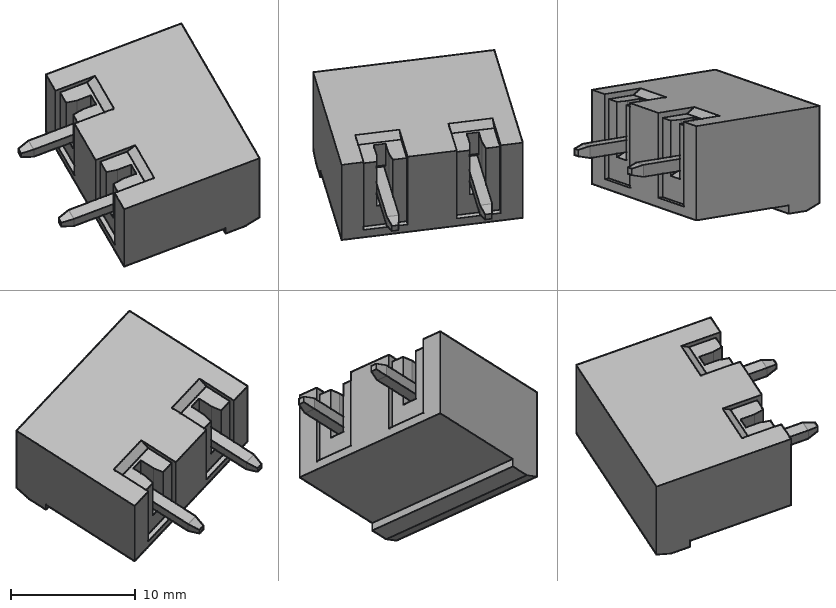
import cadquery as cq

width = 14.82
overall_depth = 16.0
depth = 12.0
overall_height = 8.5
foot_height = 0.7
top = overall_height - foot_height

foot_depth = 3.0
foot_bevel_length = 1.28
foot_bevel_height = 0.48

pin_pitch = 7.62
recess_width = 3.6
recess_front_depth = 0.42
recess_drop = 7.0
recess_top_drop = 0.46
recess_floor_depth = 2.8
recess_top_depth = 3.5

pin_size = 1.0
pin_drop = 3.9
pin_length = overall_depth - depth
tip_length = 1.0
tip_size = 0.53

slot_depth = 2.53
slot_drop = 5.02
slot_mouth_width = 1.33
slot_flare_length = 0.88
ramp_length = 1.25
overhang_drop = 2.69
overhang_length = 0.7

pin_z = top - pin_drop
pin_top = pin_z + pin_size / 2
pin_bottom = pin_z - pin_size / 2
slot_bottom = top - slot_drop
pin_positions = [-pin_pitch / 2, pin_pitch / 2]


def side_profile(points, x, thickness):
    """Extrude a (y, z) outline along X, centred on x."""
    return (
        cq.Workplane("YZ", origin=(x, 0, 0))
        .polyline(points)
        .close()
        .extrude(thickness / 2, both=True)
    )


def housing():
    outline = [
        (0, 0),
        (0, top),
        (depth, top),
        (depth, foot_bevel_height - foot_height),
        (depth - foot_bevel_length, -foot_height),
        (depth - foot_depth, -foot_height),
        (depth - foot_depth, 0),
    ]
    return side_profile(outline, 0, width)


def recess(x):
    """Shallow front pocket joined to a top pocket with a sloping rear wall."""
    floor = top - recess_top_drop
    outline = [
        (0, top),
        (recess_top_depth, top),
        (recess_floor_depth, floor),
        (recess_front_depth, floor),
        (recess_front_depth, top - recess_drop),
        (0, top - recess_drop),
    ]
    return side_profile(outline, x, recess_width)


def slot(x):
    """Slot with a flared mouth, a ramp up to the pin and an undercut down to it."""
    outline = [
        (recess_front_depth, top),
        (slot_depth, top),
        (slot_depth, top - overhang_drop),
        (slot_depth + overhang_length, pin_top),
        (slot_depth + overhang_length, pin_bottom),
        (recess_front_depth + ramp_length, pin_bottom),
        (recess_front_depth, slot_bottom),
    ]
    flare_end = recess_front_depth + slot_flare_length
    plan = [
        (x - slot_mouth_width / 2, recess_front_depth),
        (x - pin_size / 2, flare_end),
        (x - pin_size / 2, depth),
        (x + pin_size / 2, depth),
        (x + pin_size / 2, flare_end),
        (x + slot_mouth_width / 2, recess_front_depth),
    ]
    flared = cq.Workplane("XY").polyline(plan).close().extrude(top)
    return side_profile(outline, x, slot_mouth_width).intersect(flared)


def pin(x):
    """Pin running from the rear of the slot to its tapered tip."""
    rear = slot_depth + overhang_length
    shaft_end = pin_length - tip_length
    shaft = (
        cq.Workplane("XZ", origin=(x, rear, pin_z))
        .rect(pin_size, pin_size)
        .extrude(rear + shaft_end)
    )
    tip = (
        cq.Workplane("XZ", origin=(x, -shaft_end, pin_z))
        .rect(pin_size, pin_size)
        .workplane(offset=tip_length)
        .rect(tip_size, tip_size)
        .loft()
    )
    return shaft.union(tip)


result = housing()
for pin_x in pin_positions:
    result = result.cut(recess(pin_x)).cut(slot(pin_x))
for pin_x in pin_positions:
    result = result.union(pin(pin_x))